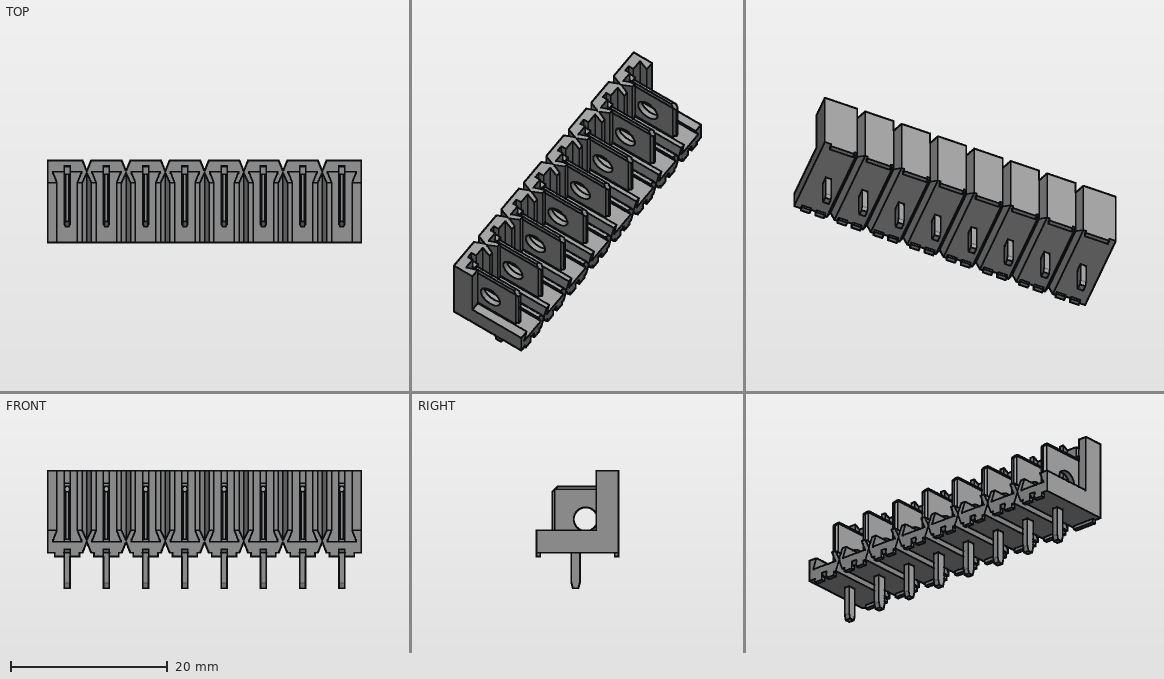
import cadquery as cq


POLE_COUNT = 8
LENGTH = 40.0
PITCH = LENGTH / POLE_COUNT
LEG_LENGTH = 10.5
LEG_THICKNESS = 2.9
CHANNEL_FLOOR = 1.45
CHANNEL_MOUTH_WIDTH = 2.6
CHANNEL_FLOOR_WIDTH = 3.7

OUTER_NOTCH_WIDTH = 1.1
OUTER_NOTCH_DEPTH = 1.35
INNER_NOTCH_WIDTH = 1.2
INNER_NOTCH_TIP = 1.6

FOOT_WIDTH = 3.2
FOOT_LENGTH = 0.5
FOOT_HEIGHT = 0.5
RECESS_RISE = 0.5
RECESS_RAMP_LENGTH = 0.3

TAB_THICKNESS = 0.75
TAB_END = 8.5
TAB_START = 1.75
BEVEL_LENGTH = 0.35
BEVEL_DEPTH = 0.2
TAB_CORNER = 0.7
TAB_HOLE_DIAMETER = 3.0
TAB_HOLE_OFFSET = 4.2
TAB_HOLE_HEIGHT = 4.3
ROOT_START = 0.85
WALL_ROOT_TOP = 8.85
FLOOR_ROOT_FRONT = TAB_END - BEVEL_LENGTH
SLOT_CLEARANCE = 0.1
PIN_DEPTH = 1.1
PIN_CENTRE = 5.5
TOTAL_HEIGHT = 15.0
PIN_BOTTOM = LEG_LENGTH - TOTAL_HEIGHT
TIP_HEIGHT = 0.7
TIP_DEPTH = 0.7

pole_centres = [(i + 0.5) * PITCH - LENGTH / 2 for i in range(POLE_COUNT)]
joint_centres = [i * PITCH - LENGTH / 2 for i in range(1, POLE_COUNT)]

SIDE = cq.Plane(origin=(0, 0, 0), xDir=(0, -1, 0), normal=(-1, 0, 0))


def side_plate(points, width):
    """Extrude a side outline symmetrically about x = 0."""
    return cq.Workplane(SIDE).polyline(points).close().extrude(width / 2, both=True)


def side_block(start, end, bottom, top, width):
    """Box between two distances from the back face and two heights."""
    return side_plate([(start, bottom), (end, bottom), (end, top), (start, top)], width)


def leg_prisms(section, start, end):
    """Run an (x, depth) section up the wall and forward along the floor."""
    length = end - start
    wall_section = [(x, -depth) for x, depth in section]
    up_wall = cq.Workplane("XY").workplane(offset=start).polyline(wall_section).close().extrude(length)
    along_floor = cq.Workplane("XZ").workplane(offset=start).polyline(section).close().extrude(length)
    return up_wall, along_floor


def make_pin():
    """Flat solder pin with its front and back faces tapered at the tip."""
    back = PIN_CENTRE - PIN_DEPTH / 2
    front = PIN_CENTRE + PIN_DEPTH / 2
    tip_back = PIN_CENTRE - TIP_DEPTH / 2
    tip_front = PIN_CENTRE + TIP_DEPTH / 2
    taper_top = PIN_BOTTOM + TIP_HEIGHT
    outline = [(back, ROOT_START), (back, taper_top), (tip_back, PIN_BOTTOM),
               (tip_front, PIN_BOTTOM), (front, taper_top), (front, ROOT_START)]
    return side_plate(outline, TAB_THICKNESS)


def make_tab():
    """Flat tab, bevelled along its top and front edges, with a cut corner and a round hole."""
    half = TAB_THICKNESS / 2
    edge_half = half - BEVEL_DEPTH
    bevel_start = TAB_END - BEVEL_LENGTH
    section = [(-half, TAB_START), (-half, bevel_start), (-edge_half, TAB_END),
               (edge_half, TAB_END), (half, bevel_start), (half, TAB_START)]
    front_bevelled, top_bevelled = leg_prisms(section, TAB_START, TAB_END)
    corner = side_plate([(TAB_END - TAB_CORNER, TAB_END), (TAB_END, TAB_END),
                         (TAB_END, TAB_END - TAB_CORNER)], TAB_THICKNESS)
    hole = (cq.Workplane(SIDE).center(TAB_HOLE_OFFSET, TAB_HOLE_HEIGHT)
            .circle(TAB_HOLE_DIAMETER / 2).extrude(TAB_THICKNESS, both=True))
    return front_bevelled.intersect(top_bevelled).cut(corner).cut(hole)


def make_contact():
    """Tab, the root that seats it in the wall and floor, and the solder pin."""
    wall_root = side_block(ROOT_START, TAB_START, ROOT_START, WALL_ROOT_TOP, TAB_THICKNESS)
    floor_root = side_block(ROOT_START, FLOOR_ROOT_FRONT, ROOT_START, TAB_START, TAB_THICKNESS)
    return make_tab().union(wall_root).union(floor_root).union(make_pin())


def make_contact_slot():
    """Slot for the root, open at the top of the wall, with the hole for the pin."""
    slot_back = ROOT_START - SLOT_CLEARANCE
    wall_slot = side_block(slot_back, TAB_START, ROOT_START, LEG_LENGTH, TAB_THICKNESS)
    floor_slot = side_block(slot_back, FLOOR_ROOT_FRONT, ROOT_START, TAB_START, TAB_THICKNESS)
    return wall_slot.union(floor_slot).union(make_pin())


def make_channel():
    """Dovetail channel of one pole, wider at its bottom than at its mouth."""
    floor_half = CHANNEL_FLOOR_WIDTH / 2
    mouth_half = CHANNEL_MOUTH_WIDTH / 2
    section = [(-floor_half, CHANNEL_FLOOR), (-mouth_half, LEG_THICKNESS),
               (mouth_half, LEG_THICKNESS), (floor_half, CHANNEL_FLOOR)]
    up_wall, along_floor = leg_prisms(section, CHANNEL_FLOOR, LEG_LENGTH)
    return up_wall.union(along_floor)


def make_joint_notches():
    """Outer and inner V-notches of one joint between poles, the inner one mitred at the corner."""
    outer_half = OUTER_NOTCH_WIDTH / 2
    inner_half = INNER_NOTCH_WIDTH / 2
    outer_section = [(-outer_half, 0), (0, OUTER_NOTCH_DEPTH), (outer_half, 0)]
    inner_section = [(-inner_half, LEG_LENGTH), (-inner_half, LEG_THICKNESS), (0, INNER_NOTCH_TIP),
                     (inner_half, LEG_THICKNESS), (inner_half, LEG_LENGTH)]
    outer_wall, outer_floor = leg_prisms(outer_section, 0, LEG_LENGTH)
    inner_wall, inner_floor = leg_prisms(inner_section, INNER_NOTCH_TIP, LEG_LENGTH)
    return outer_wall.union(outer_floor).union(inner_wall.intersect(inner_floor))


def make_feet():
    """Back and front foot of one pole."""
    back_foot = side_block(0, FOOT_LENGTH, -FOOT_HEIGHT, 0, FOOT_WIDTH)
    front_foot = side_block(LEG_LENGTH - FOOT_LENGTH, LEG_LENGTH, -FOOT_HEIGHT, 0, FOOT_WIDTH)
    return back_foot, front_foot


def make_foot_recess():
    """Recess through the front foot, with a roof that ramps up to the front face."""
    back = LEG_LENGTH - FOOT_LENGTH
    ramp_back = LEG_LENGTH - RECESS_RAMP_LENGTH
    outline = [(back, -FOOT_HEIGHT), (LEG_LENGTH, -FOOT_HEIGHT), (LEG_LENGTH, RECESS_RISE),
               (ramp_back, 0), (back, 0)]
    return side_plate(outline, TAB_THICKNESS)


def make_housing():
    """L-shaped strip with a dovetail channel, contact slot and feet for each pole."""
    body = side_plate([(0, 0), (LEG_LENGTH, 0), (LEG_LENGTH, LEG_THICKNESS),
                       (LEG_THICKNESS, LEG_THICKNESS), (LEG_THICKNESS, LEG_LENGTH),
                       (0, LEG_LENGTH)], LENGTH)
    notches = make_joint_notches()
    for x in joint_centres:
        body = body.cut(notches.translate((x, 0, 0)))
    back_foot, front_foot = make_feet()
    pole_cut = make_channel().union(make_contact_slot()).union(make_foot_recess())
    for x in pole_centres:
        body = body.union(back_foot.translate((x, 0, 0)))
        body = body.union(front_foot.translate((x, 0, 0)))
        body = body.cut(pole_cut.translate((x, 0, 0)))
    return body


housing = make_housing()
contact = make_contact()
contacts = [contact.translate((x, 0, 0)).val() for x in pole_centres]

result = cq.Compound.makeCompound([housing.val(), *contacts])